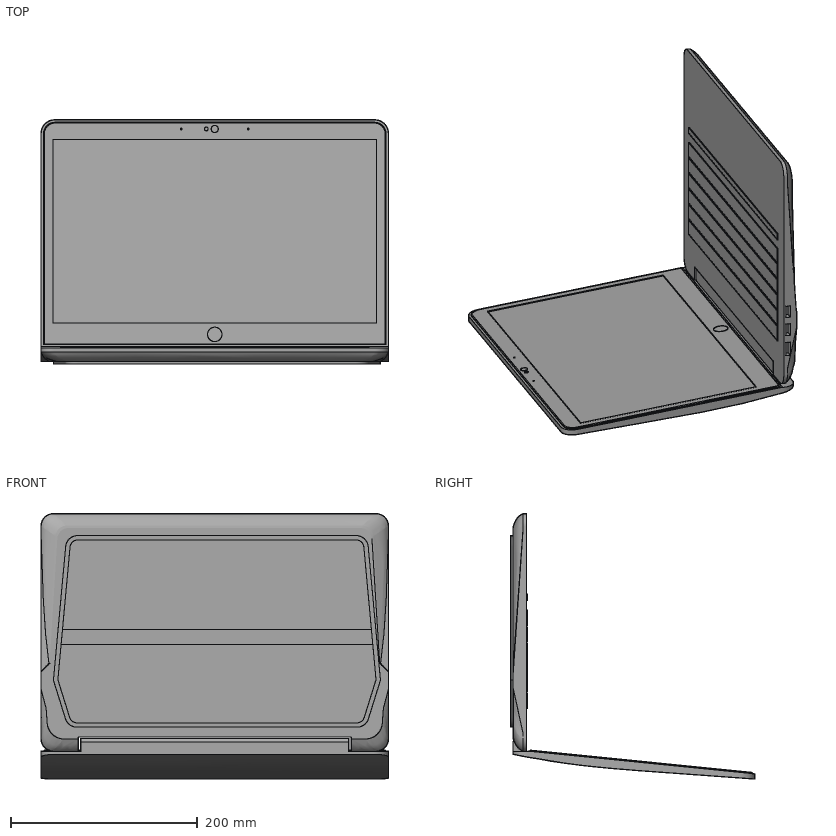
import cadquery as cq
import math


width = 372.11
total_depth = 261.56
total_height = 284.35
half_width = width / 2

base_thickness = 14.65
base_bottom = 29.85
base_top = total_height
base_corner_radius = 13.5
rim_depth = 4.0
rounding_height = 13.2
rounding_bulge = 0.45
rounding_stages = (0, 1 / 3, 2 / 3, 1)
top_inset = 16.5
knee_inset = 8.5
lower_knee_inset = 5.5
bottom_inset = 8.0
panel_top_radius = 12.0
panel_bottom_radius = 18.0
upper_knee = (266.0, 124.0)
upper_shoulder = (264.0, 115.0)
lower_shoulder = (50.0, 96.7)
lower_knee = (46.0, 76.0)
panel_rise = 0.45
panel_top_margin = 2.6
panel_corner_margin = 2.0
panel_knee_margin = 1.0
panel_edge_depth = base_thickness - panel_rise

bar_half_length = 143.7
bar_top = 43.7
bar_gap = 2.4
bar_depth = 13.5
bar_chamfer_height = 4.0
bar_chamfer_depth = 1.5
notch_half_length = bar_half_length + bar_gap
notch_top = 45.0

ports = ((116.0, 12.8), (95.4, 13.2), (73.3, 15.0))
port_width = 4.8
port_depth = 8.0
port_distance = 4.9

key_height = 1.0
key_length = 330.0
key_row_pitch = 17.8
key_row_count = 6
key_row_width = 16.4
first_key_row = 83.7
function_row = 194.7
function_row_width = 6.6

foot_height = 2.5
foot_width = 4.7
foot_right_extra = 4.7
foot_bar_height = 2.0
foot_top = 260.8
foot_bottom = 55.6
foot_top_half_width = 158.5
foot_side_half_width = 172.7
foot_side_height = 106.0
foot_bottom_half_width = 157.0
foot_corner_radius = 13.0
foot_bar_bottom = 144.4
foot_bar_top = 160.3

lid_reach = total_depth - base_thickness - foot_height
lid_tilt = 5.73
lid_slope = math.tan(math.radians(lid_tilt))
lid_corner_radius = 15.0
lid_edge_height = 5.7
lid_step = 1.5
lid_back_edge = 26.6
underside_points = ((25.4, 19.2), (120.0, 9.0))

bezel_inset = 2.7
bezel_height = 1.3
bezel_chamfer = 0.9
bezel_near = 3.5
bezel_corner_radius = 12.5
screen_width = 346.5
screen_near = 27.0
screen_far = 223.1
screen_recess = 1.1
button_recess = 0.4
round_features = (
    (0.0, 14.6, 15.4),
    (0.0, 234.5, 7.6),
    (-9.0, 234.5, 4.0),
    (-35.8, 234.5, 1.8),
    (35.8, 234.5, 1.8),
)


def rounded_outline(corners, depth):
    """Closed XZ wire at Y = -depth; each corner is (x, z, radius)."""
    arrivals, middles, departures = [], [], []
    for i, (x, z, radius) in enumerate(corners):
        corner = cq.Vector(x, -depth, z)
        before_x, before_z, _ = corners[i - 1]
        after_x, after_z, _ = corners[(i + 1) % len(corners)]
        before = cq.Vector(before_x, -depth, before_z)
        after = cq.Vector(after_x, -depth, after_z)
        back = (before - corner).normalized()
        ahead = (after - corner).normalized()
        half_angle = back.getAngle(ahead) / 2
        reach = radius / math.tan(half_angle)
        to_arc = radius / math.sin(half_angle) - radius
        arrivals.append(corner + back * reach)
        middles.append(corner + (back + ahead).normalized() * to_arc if radius else corner)
        departures.append(corner + ahead * reach)
    edges = []
    for i, (_, _, radius) in enumerate(corners):
        edges.append(cq.Edge.makeLine(departures[i - 1], arrivals[i]))
        if radius:
            edges.append(cq.Edge.makeThreePointArc(arrivals[i], middles[i], departures[i]))
    return cq.Wire.assembleEdges(edges)


def mirrored(right_side):
    """Corners of a symmetric outline from its right half, listed from top to bottom."""
    return right_side + [(-x, z, radius) for x, z, radius in reversed(right_side)]


def blend(start, end, fraction):
    return start + (end - start) * fraction


def base_section(stage):
    """Outline of the base at one stage (0 to 1) of its rounding."""
    swell = rounding_bulge * (1 - stage)
    descent = stage * (1 + swell)
    inset = stage * (1 - swell)
    right_side = [
        (
            half_width - top_inset * inset,
            base_top - rounding_height * inset,
            blend(base_corner_radius, panel_top_radius, inset),
        ),
        (half_width - knee_inset * inset, blend(*upper_knee, descent), 0),
        (half_width, blend(*upper_shoulder, descent), 0),
        (half_width, blend(*lower_shoulder, descent), 0),
        (half_width - lower_knee_inset * inset, blend(*lower_knee, descent), 0),
        (
            half_width - bottom_inset * inset,
            base_bottom + rounding_height * inset,
            blend(base_corner_radius, panel_bottom_radius, inset),
        ),
    ]
    return rounded_outline(mirrored(right_side), blend(rim_depth, panel_edge_depth, descent))


def panel_section():
    """Outline of the flat back, drawn in a little along the top and upper sides."""
    right_side = [
        (
            half_width - top_inset - panel_corner_margin,
            base_top - rounding_height - panel_top_margin,
            panel_top_radius,
        ),
        (half_width - knee_inset - panel_knee_margin, upper_knee[1], 0),
        (half_width, upper_shoulder[1], 0),
        (half_width, lower_shoulder[1], 0),
        (half_width - lower_knee_inset, lower_knee[1], 0),
        (half_width - bottom_inset, base_bottom + rounding_height, panel_bottom_radius),
    ]
    return rounded_outline(mirrored(right_side), base_thickness)


def box(x_range, y_range, z_range):
    ranges = (x_range, y_range, z_range)
    size = [high - low for low, high in ranges]
    corner = tuple(low for low, _ in ranges)
    return cq.Workplane("XY").box(*size, centered=False).translate(corner)


def key_row(height, row_width):
    return box(
        (-key_length / 2, key_length / 2),
        (-rim_depth / 2, key_height),
        (height - row_width / 2, height + row_width / 2),
    )


def make_base():
    rim_outline = mirrored([
        (half_width, base_top, base_corner_radius),
        (half_width, base_bottom, base_corner_radius),
    ])
    rim = cq.Solid.extrudeLinear(rounded_outline(rim_outline, 0), [], cq.Vector(0, -rim_depth, 0))
    back = cq.Solid.makeLoft([base_section(stage) for stage in rounding_stages])
    panel = cq.Solid.makeLoft([base_section(1), panel_section()], True)
    body = cq.Workplane(rim).union(cq.Workplane(back)).union(cq.Workplane(panel))

    body = body.cut(box(
        (-notch_half_length, notch_half_length),
        (-base_thickness, 0),
        (base_bottom, notch_top),
    ))
    for height, length in ports:
        body = body.cut(box(
            (-half_width, -half_width + port_depth),
            (-port_distance - port_width / 2, -port_distance + port_width / 2),
            (height - length / 2, height + length / 2),
        ))
    for row in range(key_row_count):
        body = body.union(key_row(first_key_row + row * key_row_pitch, key_row_width))
    return body.union(key_row(function_row, function_row_width))


def make_foot():
    """Raised frame with a crossbar, standing on the flat back of the base."""
    left_side = [
        (-foot_bottom_half_width, foot_bottom, foot_corner_radius),
        (-foot_side_half_width, foot_side_height, 0),
        (-foot_top_half_width, foot_top, foot_corner_radius),
    ]
    right_side = [(foot_right_extra - x, z, radius) for x, z, radius in reversed(left_side)]
    outline = rounded_outline(right_side + left_side, base_thickness)
    opening = outline.offset2D(-foot_width, "intersection")[0]
    rise = cq.Vector(0, -foot_height, 0)
    plate = cq.Workplane(cq.Solid.extrudeLinear(outline, [], rise))
    inside = cq.Workplane(cq.Solid.extrudeLinear(opening, [], rise))
    crossbar = box(
        (-half_width, half_width),
        (-base_thickness - foot_bar_height, -base_thickness),
        (foot_bar_bottom, foot_bar_top),
    )
    return plate.cut(inside).union(inside.intersect(crossbar))


def lid_top(y):
    return lid_edge_height + (lid_reach - y) * lid_slope


def rounded_plan(near, far, plan_width, radius, rounded_edges):
    """Upright block over a rectangle between two Y values, with the chosen edges rounded."""
    return (
        cq.Workplane("XY")
        .center(0, (near + far) / 2)
        .rect(plan_width, far - near)
        .extrude(total_height)
        .edges(rounded_edges)
        .fillet(radius)
    )


def sloping_slab(near, far, low, high):
    """Full-width slab parallel to the lid's top, between two heights above it."""
    return (
        cq.Workplane("YZ", origin=(-half_width, 0, 0))
        .polyline([
            (near, lid_top(near) + low),
            (far, lid_top(far) + low),
            (far, lid_top(far) + high),
            (near, lid_top(near) + high),
        ])
        .close()
        .extrude(width)
    )


def make_lid_shell():
    """Curved shell that thins toward the far edge, with a ledge under the base."""
    profile = (
        cq.Workplane("YZ", origin=(-half_width, 0, 0))
        .moveTo(-base_thickness, lid_back_edge)
        .spline([*underside_points, (lid_reach, 0)], includeCurrent=True)
        .lineTo(lid_reach, lid_top(lid_reach))
        .lineTo(lid_step, lid_top(lid_step))
        .lineTo(lid_step, base_bottom)
        .lineTo(-base_thickness, base_bottom)
        .close()
        .extrude(width)
    )
    return profile.intersect(rounded_plan(-base_thickness, lid_reach, width, lid_corner_radius, "|Z"))


def make_bezel():
    far = lid_reach - bezel_inset
    slab = sloping_slab(bezel_near, far, -bezel_height, bezel_height)
    plan = rounded_plan(bezel_near, far, width - 2 * bezel_inset, bezel_corner_radius, "|Z and >Y")
    tilt = math.radians(lid_tilt)
    top_face = cq.selectors.DirectionMinMaxSelector(cq.Vector(0, math.sin(tilt), math.cos(tilt)))
    return slab.intersect(plan).faces(top_face).chamfer(bezel_chamfer)


def make_hinge_bar():
    back = -base_thickness
    return (
        cq.Workplane("YZ", origin=(-bar_half_length, 0, 0))
        .polyline([
            (back, lid_back_edge),
            (back, bar_top - bar_chamfer_height),
            (back + bar_chamfer_depth, bar_top),
            (back + bar_depth, bar_top),
            (back + bar_depth, lid_back_edge),
        ])
        .close()
        .extrude(2 * bar_half_length)
    )


def make_lid():
    lid = make_lid_shell().union(make_bezel()).union(make_hinge_bar())
    screen = sloping_slab(screen_near, screen_far, bezel_height - screen_recess, 2 * bezel_height)
    side_limit = box(
        (-screen_width / 2, screen_width / 2),
        (screen_near, screen_far),
        (0, total_height),
    )
    lid = lid.cut(screen.intersect(side_limit))
    button_layer = sloping_slab(
        bezel_near, lid_reach - bezel_inset, bezel_height - button_recess, 2 * bezel_height
    )
    for x, y, diameter in round_features:
        cylinder = cq.Workplane("XY").center(x, y).circle(diameter / 2).extrude(total_height)
        lid = lid.cut(cylinder.intersect(button_layer))
    return lid


base = make_base()
foot = make_foot()
lid = make_lid()

result = cq.Compound.makeCompound([
    base.solids().val(),
    foot.solids().val(),
    lid.solids().val(),
])